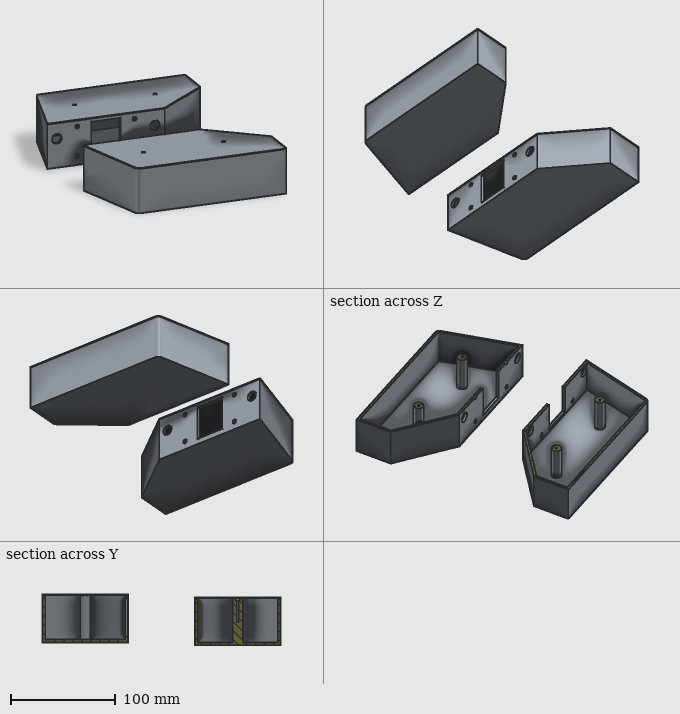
import cadquery as cq
import math

OVERALL_X = 228.0
CASE_SHIFT_Y = 11.2
CASE_SHIFT_Z = 2.7

CASE_WIDTH = 82.0
OUTER_SIDE = 154.1
BACK_EDGE = 38.0
BACK_SLANT_Y = 55.0
FRONT_ANGLE = 15.0
CORNER_RADIUS = 5.0
FRONT_DROP = CASE_WIDTH * math.tan(math.radians(FRONT_ANGLE))
INNER_SIDE = OUTER_SIDE + FRONT_DROP - BACK_SLANT_Y

CASE_HEIGHT = 46.0
LID_THICKNESS = 1.0
HOUSING_HEIGHT = CASE_HEIGHT - LID_THICKNESS
WALL = 3.0

SCREW_SPACING = 83.0
SCREW_FROM_BACK = 48.0
SCREW_X = CASE_WIDTH / 2
SCREW_HOLE_DIAMETER = 3.5
RECESS_DEPTH = 2.3
PILOT_DIAMETER = 1.5
PILOT_DEPTH = 22.8
POST_DIAMETER = 10.0

WINDOW_WIDTH = 30.0
WINDOW_HEIGHT = 36.0
WINDOW_BOTTOM = 6.0
PORT_DIAMETER = 10.0
PORT_FROM_END = 9.8
PORT_Z = 29.5
MOUNT_HOLE_DIAMETER = 4.0
MOUNT_SPACING_Y = 59.3
MOUNT_SPACING_Z = 30.0

INNER_SIDE_MIDDLE_Y = -BACK_SLANT_Y - INNER_SIDE / 2
WINDOW_MIDDLE_Z = WINDOW_BOTTOM + WINDOW_HEIGHT / 2
SCREW_POINTS = [
    (SCREW_X, -SCREW_FROM_BACK),
    (SCREW_X, -SCREW_FROM_BACK - SCREW_SPACING),
]


def make_slab(base_z, height):
    """Solid with the case outline and its rounded outer front corner."""
    outline = [
        (0, 0),
        (BACK_EDGE, 0),
        (CASE_WIDTH, -BACK_SLANT_Y),
        (CASE_WIDTH, -BACK_SLANT_Y - INNER_SIDE),
        (0, -OUTER_SIDE),
    ]
    slab = cq.Workplane("XY").workplane(offset=base_z).polyline(outline).close().extrude(height)
    rounded_corner = cq.selectors.NearestToPointSelector((0, -OUTER_SIDE, base_z + height / 2))
    return slab.edges(rounded_corner).fillet(CORNER_RADIUS)


def make_screw_cylinders(base_z, height, diameter):
    """One upright cylinder on each screw axis; a negative height points down."""
    plane = cq.Workplane("XY").workplane(offset=base_z)
    return plane.pushPoints(SCREW_POINTS).circle(diameter / 2).extrude(height)


def make_inner_side_cutter(points, draw_shape):
    """Cutter through the inner wall; points are (Y from mid-side, Z from mid-window)."""
    plane = cq.Plane(
        origin=(CASE_WIDTH, INNER_SIDE_MIDDLE_Y, WINDOW_MIDDLE_Z), xDir=(0, 1, 0), normal=(1, 0, 0)
    )
    return draw_shape(cq.Workplane(plane).pushPoints(points)).extrude(-WALL)


def make_housing():
    """Open-topped box with screw posts and openings in its inner side."""
    housing = make_slab(0, HOUSING_HEIGHT).faces(">Z").shell(-WALL)
    post_base = WALL / 2

    posts = make_screw_cylinders(post_base, HOUSING_HEIGHT - post_base, POST_DIAMETER)
    recesses = make_screw_cylinders(HOUSING_HEIGHT, -RECESS_DEPTH, SCREW_HOLE_DIAMETER)
    pilots = make_screw_cylinders(HOUSING_HEIGHT, -PILOT_DEPTH, PILOT_DIAMETER)
    housing = housing.union(posts).cut(recesses).cut(pilots)

    window = make_inner_side_cutter([(0, 0)], lambda wp: wp.rect(WINDOW_WIDTH, WINDOW_HEIGHT))

    port_y = INNER_SIDE / 2 - PORT_FROM_END
    port_z = PORT_Z - WINDOW_MIDDLE_Z
    port_points = [(-port_y, port_z), (port_y, port_z)]
    ports = make_inner_side_cutter(port_points, lambda wp: wp.circle(PORT_DIAMETER / 2))

    mount_points = [
        (side_y * MOUNT_SPACING_Y / 2, side_z * MOUNT_SPACING_Z / 2)
        for side_y in (-1, 1)
        for side_z in (-1, 1)
    ]
    mounts = make_inner_side_cutter(mount_points, lambda wp: wp.circle(MOUNT_HOLE_DIAMETER / 2))

    return housing.cut(window).cut(ports).cut(mounts)


def make_lid():
    """Thin cover plate, flush with the housing, with two screw holes."""
    holes = make_screw_cylinders(HOUSING_HEIGHT, LID_THICKNESS, SCREW_HOLE_DIAMETER)
    return make_slab(HOUSING_HEIGHT, LID_THICKNESS).cut(holes)


def mirror_to_right(body):
    """Right-hand copy of a left body, at the far end of the overall length."""
    return body.mirror("YZ").translate((OVERALL_X, CASE_SHIFT_Y, -CASE_SHIFT_Z))


bodies = []
for left_body in (make_housing(), make_lid()):
    bodies.append(left_body.val())
    bodies.append(mirror_to_right(left_body).val())

result = cq.Compound.makeCompound(bodies)